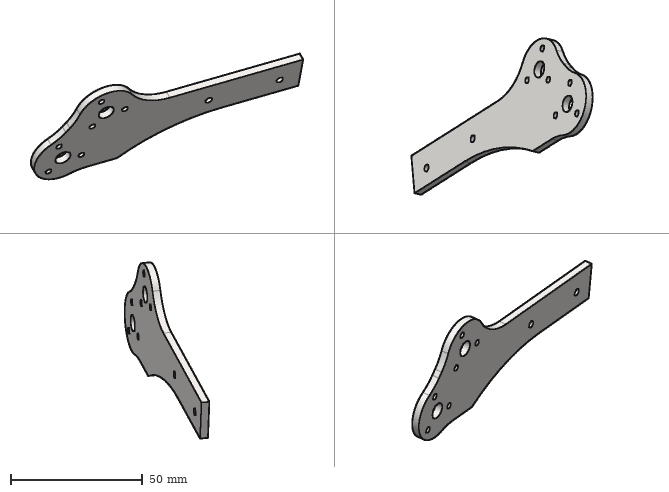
import cadquery as cq
import math

thickness = 3.2
length = 112.8
height = 43.6
arm_width = 15.7
arm_tilt = math.radians(7.5)
arm_corner_z = 18.6
arm_straight_bottom = 32.7
tip_y = 34.6

lobe_radius = 12.1
blend_radius = 21.0
waist_offset = 9.9
upper_lobe = (30.2, height - lobe_radius)
lower_lobe = (lobe_radius, 13.1)

bore_diameter = 6.3
screw_diameter = 2.4
screw_circle_radius = 8.1
upper_screw_angle = 104.0
lower_screw_angle = 101.5
screws_per_lobe = 3

arm_hole_diameter = 2.7
arm_hole_from_end = 8.8
arm_hole_spacing = 30.0
arm_hole_from_top = 8.7


def shifted(point, direction, distance):
    return (point[0] + direction[0] * distance, point[1] + direction[1] * distance)


def unit_vector(start, end):
    span = math.dist(start, end)
    return ((end[0] - start[0]) / span, (end[1] - start[1]) / span)


def line_to_lobe_blend(lobe, along, outward, offset):
    """Return the line tangency, midpoint and lobe tangency of a concave blend.

    The line runs along 'along', away from the lobe, and lies 'offset'
    outward of the lobe centre.
    """
    center_rise = offset + blend_radius
    center_run = math.sqrt((lobe_radius + blend_radius) ** 2 - center_rise ** 2)
    center = shifted(shifted(lobe, along, center_run), outward, center_rise)
    line_point = shifted(center, outward, -blend_radius)
    lobe_point = shifted(lobe, unit_vector(lobe, center), lobe_radius)
    chord_middle = ((line_point[0] + lobe_point[0]) / 2, (line_point[1] + lobe_point[1]) / 2)
    middle = shifted(center, unit_vector(center, chord_middle), blend_radius)
    return line_point, middle, lobe_point


arm_inward = (-math.cos(arm_tilt), math.sin(arm_tilt))
arm_outward = (-arm_inward[0], -arm_inward[1])
arm_up = (math.sin(arm_tilt), math.cos(arm_tilt))
arm_down = (-arm_up[0], -arm_up[1])
arm_top = (length, arm_corner_z)
arm_bottom = shifted(arm_top, arm_down, arm_width)
belly_start = shifted(arm_bottom, arm_inward, arm_straight_bottom)
tip = (tip_y, 0.0)


def offset_from(lobe, line_point, outward):
    """Signed distance from a lobe centre to a line, measured outward."""
    return (line_point[0] - lobe[0]) * outward[0] + (line_point[1] - lobe[1]) * outward[1]


def plate():
    lobe_axis = unit_vector(lower_lobe, upper_lobe)
    lobe_axis_back = (-lobe_axis[0], -lobe_axis[1])
    waist_out = (-lobe_axis[1], lobe_axis[0])
    arm_offset = offset_from(upper_lobe, arm_top, arm_up)
    tip_offset = offset_from(lower_lobe, tip, arm_down)

    arm_blend = line_to_lobe_blend(upper_lobe, arm_outward, arm_up, arm_offset)
    upper_waist = line_to_lobe_blend(upper_lobe, lobe_axis_back, waist_out, waist_offset)
    lower_waist = line_to_lobe_blend(lower_lobe, lobe_axis, waist_out, waist_offset)
    tip_blend = line_to_lobe_blend(lower_lobe, arm_outward, arm_down, tip_offset)

    upper_lobe_top = (upper_lobe[0], height)
    lower_lobe_side = (0.0, lower_lobe[1])
    return (
        cq.Workplane("YZ")
        .moveTo(*arm_bottom)
        .lineTo(*belly_start)
        .tangentArcPoint(tip, relative=False)
        .lineTo(*tip_blend[0])
        .threePointArc(tip_blend[1], tip_blend[2])
        .threePointArc(lower_lobe_side, lower_waist[2])
        .threePointArc(lower_waist[1], lower_waist[0])
        .lineTo(*upper_waist[0])
        .threePointArc(upper_waist[1], upper_waist[2])
        .threePointArc(upper_lobe_top, arm_blend[2])
        .threePointArc(arm_blend[1], arm_blend[0])
        .lineTo(*arm_top)
        .close()
        .extrude(thickness)
    )


def through_holes(centers, diameter):
    return cq.Workplane("YZ").pushPoints(centers).circle(diameter / 2).extrude(thickness)


def screw_centers(lobe, first_angle):
    centers = []
    for index in range(screws_per_lobe):
        angle = math.radians(first_angle + index * 360 / screws_per_lobe)
        centers.append(shifted(lobe, (math.cos(angle), math.sin(angle)), screw_circle_radius))
    return centers


outer_arm_hole = shifted(shifted(arm_top, arm_inward, arm_hole_from_end), arm_down, arm_hole_from_top)
inner_arm_hole = shifted(outer_arm_hole, arm_inward, arm_hole_spacing)
all_screws = screw_centers(upper_lobe, upper_screw_angle) + screw_centers(lower_lobe, lower_screw_angle)

result = (
    plate()
    .cut(through_holes([upper_lobe, lower_lobe], bore_diameter))
    .cut(through_holes(all_screws, screw_diameter))
    .cut(through_holes([outer_arm_hole, inner_arm_hole], arm_hole_diameter))
)